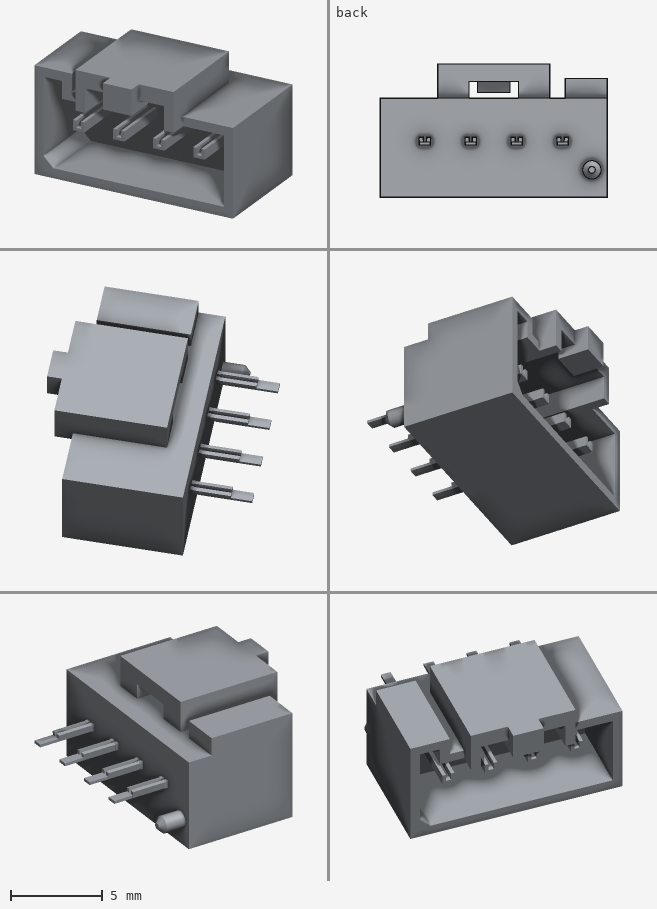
import cadquery as cq

width = 12.41
body_depth = 6.71
body_height = 5.42
total_height = 7.3
side_wall = 0.57
floor_wall = 0.6
ceiling_wall = 0.56
corner_chamfer = 0.61
back_wall = 2.5
cavity_depth = body_depth - back_wall
cavity_ceiling = body_height - ceiling_wall

ear_width = 2.31
ear_height = 6.5
raised_depth = 5.24

hood_width = 6.13
hood_wall = 0.6
hood_roof = 0.97
hood_overhang = 1.03
hood_ceiling = total_height - hood_roof
window_width = 2.69

latch_width = 1.79
latch_reach = 0.82
latch_height = 1.58

pin_count = 4
pin_pitch = 2.51
pin_bottom = 2.85
pin_web = 0.17
blade_front = 0.57
blade_width = 0.71
blade_height = 0.61
blade_slot = 0.3
tail_width = 0.57
tail_height = 0.43
tail_slot = 0.15
arm_splay = 0.04
arm_drop = 0.04
collar_width = 0.63
collar_length = 0.17
tail_channel_end = 8.97
tail_tip = 10.16

peg_diameter = 1.0
peg_tip_diameter = 0.37
peg_inset = 0.85
peg_x = peg_inset - width / 2
peg_z = 1.5
peg_length = 1.53
peg_tip_length = 0.32


def block(x_range, y_range, z_range):
    """Box spanning the given ranges."""
    (x0, x1), (y0, y1), (z0, z1) = x_range, y_range, z_range
    return cq.Workplane("XY").box(x1 - x0, y1 - y0, z1 - z0, centered=False).translate((x0, y0, z0))


def centred(size):
    """Range of the given size about zero."""
    return (-size / 2, size / 2)


left = -width / 2
right = width / 2
hood_front = -hood_overhang
latch_front = hood_front - latch_reach


def make_housing():
    """Body with its ear and hood, hollowed from the mating face."""
    ear_range = (left, left + ear_width)
    outside = block((left, right), (0, body_depth), (0, body_height))
    outside = outside.union(block(ear_range, (0, raised_depth), (0, ear_height)))
    outside = outside.union(
        block(centred(hood_width), (hood_front, raised_depth), (cavity_ceiling, total_height))
    )

    cavity = block(
        (left + side_wall, right - side_wall), (0, cavity_depth), (floor_wall, cavity_ceiling)
    )
    cavity = cavity.edges("|Y and <X and <Z").chamfer(corner_chamfer)
    overlap_floor = body_height / 2
    ear_cavity = block(
        (left + side_wall, left + ear_width - side_wall),
        (0, cavity_depth),
        (overlap_floor, ear_height - side_wall),
    )
    hood_cavity = block(
        centred(hood_width - 2 * hood_wall),
        (hood_front, cavity_depth),
        (overlap_floor, hood_ceiling),
    )
    window = block(centred(window_width), (0, raised_depth), (body_height, hood_ceiling))
    return outside.cut(cavity).cut(ear_cavity).cut(hood_cavity).cut(window)


def make_latch():
    """Lug hanging below the hood roof, from the mating face out past the hood front."""
    return block(
        centred(latch_width), (latch_front, 0), (total_height - latch_height, total_height)
    )


def channel(y_range, width, height, slot, splay=0.0, drop=0.0):
    """U section open at the top, centred on X = 0, with its arm tops spread by the splay."""
    start, end = y_range
    half = width / 2
    half_slot = slot / 2
    right_side = [
        (half, 0),
        (half + splay, height - drop),
        (half_slot + splay, height),
        (half_slot, pin_web),
    ]
    left_side = [(-x, z) for x, z in reversed(right_side)]
    return (
        cq.Workplane("XZ", origin=(0, start, pin_bottom))
        .polyline(right_side + left_side)
        .close()
        .extrude(start - end)
    )


def make_contact():
    """Contact on X = 0, passing through the back wall and ending in a flat solder tail."""
    strip = block(
        centred(tail_width), (cavity_depth, tail_tip), (pin_bottom, pin_bottom + pin_web)
    )
    collar_end = body_depth + collar_length
    blade = channel((blade_front, cavity_depth), blade_width, blade_height, blade_slot)
    collar = channel((body_depth, collar_end), collar_width, tail_height, tail_slot)
    tail = channel(
        (collar_end, tail_channel_end), tail_width, tail_height, tail_slot, arm_splay, arm_drop
    )
    return strip.union(blade).union(collar).union(tail)


def make_peg():
    """Round peg with a tapered tip."""
    shank_end = body_depth + peg_length - peg_tip_length
    tip_end = body_depth + peg_length
    return (
        cq.Workplane("XY")
        .moveTo(0, body_depth)
        .lineTo(peg_diameter / 2, body_depth)
        .lineTo(peg_diameter / 2, shank_end)
        .lineTo(peg_tip_diameter / 2, tip_end)
        .lineTo(0, tip_end)
        .close()
        .revolve(360, (0, 0, 0), (0, 1, 0))
        .translate((peg_x, 0, peg_z))
    )


result = make_housing().union(make_latch()).union(make_peg())
for index in range(pin_count):
    pin_x = (index - (pin_count - 1) / 2) * pin_pitch
    result = result.union(make_contact().translate((pin_x, 0, 0)))